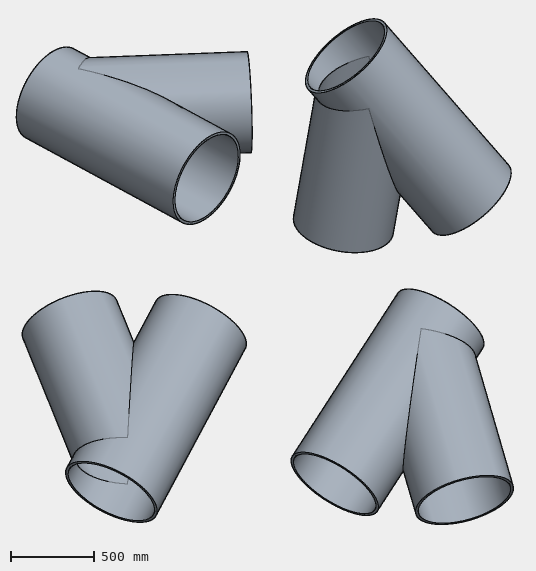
import cadquery as cq
import math

OUTER_DIAMETER = 609.6
INNER_DIAMETER = 574.7
BRANCH_ANGLE = 45.0
LONG_LEG = 1028.7
SHORT_LEG = 228.6


def run_cylinder(diameter):
    """Solid cylinder along the full length of the run."""
    start = cq.Vector(-SHORT_LEG, 0, 0)
    direction = cq.Vector(1, 0, 0)
    return cq.Workplane(cq.Solid.makeCylinder(diameter / 2, SHORT_LEG + LONG_LEG, start, direction))


def branch_cylinder(diameter):
    """Solid cylinder from the axis crossing to the open end of the branch."""
    angle = math.radians(BRANCH_ANGLE)
    start = cq.Vector(0, 0, 0)
    direction = cq.Vector(math.cos(angle), math.sin(angle), 0)
    return cq.Workplane(cq.Solid.makeCylinder(diameter / 2, LONG_LEG, start, direction))


def lateral(diameter):
    """Run and branch of one diameter joined into a single body."""
    return run_cylinder(diameter).union(branch_cylinder(diameter))


result = lateral(OUTER_DIAMETER).cut(lateral(INNER_DIAMETER))